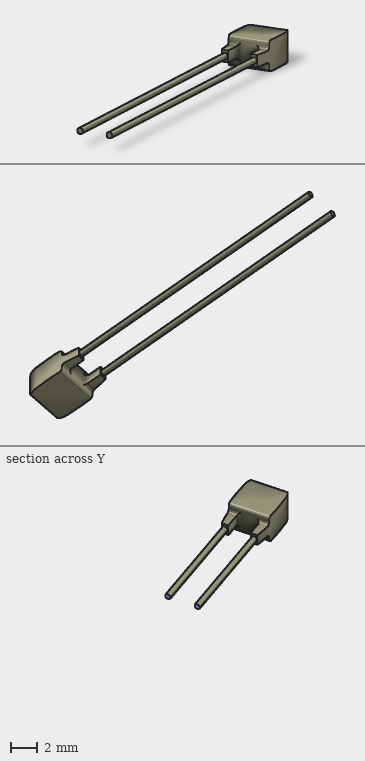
import cadquery as cq
import math


BODY_LENGTH = 3.48
BODY_THICKNESS = 2.5
LAND_HALF_WIDTH = 1.805
BACK_HALF_WIDTH = 1.52
SIDE_BULGE_RADIUS = 1.9
DRAFT_START_HALF_WIDTH = 1.78
DRAFT_START = 1.0
LAND_START = 2.0
LAND_END = 2.3
EDGE_RADIUS = 0.27

FOOT_END = 5.0
FOOT_THICKNESS = 0.96
FOOT_INNER_X = 0.96
FOOT_END_HALF_WIDTH = 1.55
FOOT_SIDE_RADIUS = 14.0
FLARE_RADIUS = 0.27

LEAD_PITCH = 2.54
LEAD_DIAMETER = 0.5
OVERALL_LENGTH = 28.5


def arc_middle(start, end, radius):
    """Middle point of the shorter arc from start to end, bulging to the left of the travel."""
    run = end[0] - start[0]
    rise = end[1] - start[1]
    chord = math.hypot(run, rise)
    bulge = radius - math.sqrt(radius**2 - (chord / 2) ** 2)
    middle_x = (start[0] + end[0]) / 2 - bulge * rise / chord
    middle_y = (start[1] + end[1]) / 2 + bulge * run / chord
    return middle_x, middle_y


def envelope():
    """Outline of body and feet in plan, without the gap between the feet."""
    back = (BACK_HALF_WIDTH, 0)
    draft = (DRAFT_START_HALF_WIDTH, -DRAFT_START)
    land_end = (LAND_HALF_WIDTH, -LAND_END)
    foot_end = (FOOT_END_HALF_WIDTH, -FOOT_END)
    half = (
        cq.Workplane("XY")
        .workplane(offset=-BODY_THICKNESS / 2)
        .lineTo(*back)
        .threePointArc(arc_middle(back, draft, SIDE_BULGE_RADIUS), draft)
        .lineTo(LAND_HALF_WIDTH, -LAND_START)
        .lineTo(*land_end)
        .threePointArc(arc_middle(land_end, foot_end, FOOT_SIDE_RADIUS), foot_end)
        .lineTo(0, -FOOT_END)
        .close()
        .extrude(BODY_THICKNESS)
    )
    return half.union(half.mirror("YZ"))


def body_block():
    """Full-width body with rounded top and bottom edges at its back and front."""
    block = cq.Workplane("XY").box(2 * LAND_HALF_WIDTH, BODY_LENGTH, BODY_THICKNESS)
    return block.edges("|X").fillet(EDGE_RADIUS).translate((0, -BODY_LENGTH / 2, 0))


def foot_block():
    """Foot on the +X side, flaring into the body above, below and on its inner side."""
    root = -BODY_LENGTH
    flare_end = root - FLARE_RADIUS
    half_thickness = FOOT_THICKNESS / 2
    inset = FLARE_RADIUS * (1 - math.sqrt(0.5))
    embedded = root + EDGE_RADIUS

    flared_half_thickness = half_thickness + FLARE_RADIUS
    side = (
        cq.Workplane("YZ")
        .moveTo(embedded, -flared_half_thickness)
        .lineTo(root, -flared_half_thickness)
        .threePointArc((root - inset, -half_thickness - inset), (flare_end, -half_thickness))
        .lineTo(-FOOT_END, -half_thickness)
        .lineTo(-FOOT_END, half_thickness)
        .lineTo(flare_end, half_thickness)
        .threePointArc((root - inset, half_thickness + inset), (root, flared_half_thickness))
        .lineTo(embedded, flared_half_thickness)
        .close()
        .extrude(LAND_HALF_WIDTH)
    )
    flared_inner_x = FOOT_INNER_X - FLARE_RADIUS
    plan = (
        cq.Workplane("XY")
        .workplane(offset=-BODY_THICKNESS / 2)
        .moveTo(flared_inner_x, embedded)
        .lineTo(flared_inner_x, root)
        .threePointArc((FOOT_INNER_X - inset, root - inset), (FOOT_INNER_X, flare_end))
        .lineTo(FOOT_INNER_X, -FOOT_END)
        .lineTo(LAND_HALF_WIDTH, -FOOT_END)
        .lineTo(LAND_HALF_WIDTH, embedded)
        .close()
        .extrude(BODY_THICKNESS)
    )
    return side.intersect(plan)


def leads():
    """Pair of round leads, rooted in the body and ending at the overall length."""
    return (
        cq.Workplane("XZ", origin=(0, -BODY_LENGTH, 0))
        .pushPoints([(-LEAD_PITCH / 2, 0), (LEAD_PITCH / 2, 0)])
        .circle(LEAD_DIAMETER / 2)
        .extrude(OVERALL_LENGTH - BODY_LENGTH)
    )


foot = foot_block()
moulding = body_block().union(foot).union(foot.mirror("YZ")).intersect(envelope())
result = moulding.union(leads())